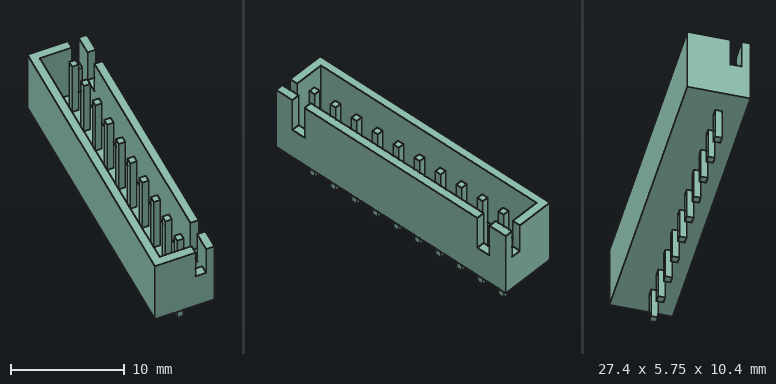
import cadquery as cq

length = 27.4
depth = 5.75
housing_height = 7.01
wall = 0.82
end_wall = 0.85
floor_thickness = wall

latch_slot_width = 1.45
latch_slot_inset = 1.95
latch_slot_depth = 3.65

end_notch_width = 1.01
end_notch_depth = 3.12

pin_count = 10
end_pin_inset = 2.45
pin_pitch = (length - 2 * end_pin_inset) / (pin_count - 1)
pin_side = 0.63
pin_tail = 3.4
pin_top = 6.8
pin_row_from_back = 2.35

back_face = depth / 2
cavity_back = back_face - wall


def box_between(x_range, y_range, z_range):
    """Box filling the given (low, high) range along each axis."""
    ranges = (x_range, y_range, z_range)
    sizes = [high - low for low, high in ranges]
    corner = tuple(low for low, high in ranges)
    return cq.Workplane("XY").box(*sizes, centered=False).translate(corner)


def make_housing():
    outer = cq.Workplane("XY").box(length, depth, housing_height, centered=(True, True, False))
    cavity = (
        cq.Workplane("XY")
        .workplane(offset=floor_thickness)
        .rect(length - 2 * end_wall, depth - 2 * wall)
        .extrude(housing_height - floor_thickness)
    )
    return outer.cut(cavity)


def cut_latch_slots(housing):
    slot_left = -length / 2 + latch_slot_inset
    slot = box_between(
        (slot_left, slot_left + latch_slot_width),
        (cavity_back, back_face),
        (housing_height - latch_slot_depth, housing_height),
    )
    return housing.cut(slot).cut(slot.mirror("YZ"))


def cut_end_notches(housing):
    bar = box_between(
        (-length / 2, length / 2),
        (cavity_back - end_notch_width, cavity_back),
        (housing_height - end_notch_depth, housing_height),
    )
    return housing.cut(bar)


def make_pins():
    return (
        cq.Workplane("XY")
        .workplane(offset=-pin_tail)
        .center(0, back_face - pin_row_from_back)
        .rarray(pin_pitch, 0.27, pin_count, 1)
        .rect(pin_side, pin_side)
        .extrude(pin_tail + pin_top)
    )


housing = cut_end_notches(cut_latch_slots(make_housing()))
result = housing.union(make_pins())